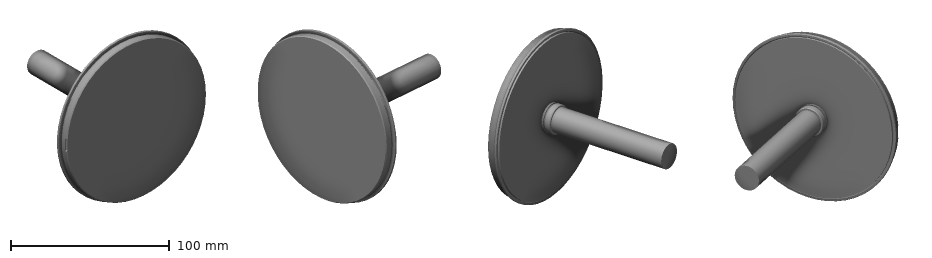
import cadquery as cq

total_length = 100.1
disc_thickness = 8.7
shaft_end = disc_thickness - total_length
collar_start = -6.6
neck_groove_start = -2.8
neck_groove_end = -1.4
rim_start = 0.7
rim_end = 2.3
body_start = 3.0

rim_radius = 57.8
rim_recess_radius = 56.1
body_radius = 56.0
face_radius = 55.4
rim_groove_radius = 55.3
shaft_radius = 8.5
collar_radius = 9.9
neck_groove_radius = 9.2

rim_recess_depth = rim_recess_radius - face_radius

rim_bevel = 0.2
collar_bevel_length = 0.6
collar_bevel_depth = 0.3
body_bevel_length = 0.7
front_bevel = 0.6

notch_length = 1.7
notch_floor_width = 7.6
notch_floor_y = -55.2
notch_clearance = 1.2


def turned_body():
    """Shaft, grooved collar and rimmed disc revolved about the X axis."""
    profile = [
        (shaft_end, 0),
        (shaft_end, shaft_radius),
        (collar_start, shaft_radius),
        (collar_start, collar_radius - collar_bevel_depth),
        (collar_start + collar_bevel_length, collar_radius),
        (neck_groove_start, collar_radius),
        (neck_groove_start, neck_groove_radius),
        (neck_groove_end, neck_groove_radius),
        (neck_groove_end, collar_radius),
        (0, collar_radius),
        (0, face_radius),
        (rim_start + rim_recess_depth, face_radius),
        (rim_start, rim_recess_radius),
        (rim_start, rim_radius - rim_bevel),
        (rim_start + rim_bevel, rim_radius),
        (rim_end - rim_bevel, rim_radius),
        (rim_end, rim_radius - rim_bevel),
        (rim_end, rim_groove_radius),
        (body_start, rim_groove_radius),
        (body_start, body_radius - front_bevel),
        (body_start + front_bevel, body_radius),
        (disc_thickness - body_bevel_length, body_radius),
        (disc_thickness, face_radius),
        (disc_thickness, 0),
    ]
    return cq.Workplane("XY").polyline(profile).close().revolve(360, (0, 0, 0), (1, 0, 0))


def edge_notch():
    """Cutter for the notch: a flat floor whose walls flare outward at 45 degrees."""
    outer_y = -body_radius - notch_clearance
    floor_half = notch_floor_width / 2
    outer_half = floor_half + notch_floor_y - outer_y
    outline = [
        (notch_floor_y, -floor_half),
        (notch_floor_y, floor_half),
        (outer_y, outer_half),
        (outer_y, -outer_half),
    ]
    return (
        cq.Workplane("YZ", origin=(disc_thickness - notch_length, 0, 0))
        .polyline(outline)
        .close()
        .extrude(notch_length + notch_clearance)
    )


result = turned_body().cut(edge_notch())